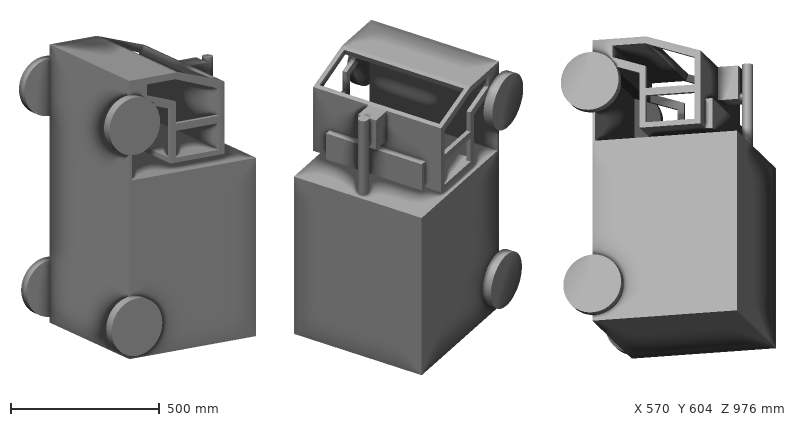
import cadquery as cq

body_width = 502.0
body_depth = 503.0
body_height = 626.0
total_height = 976.0
front_sheet_thickness = 10.0

wheel_radius = 101.0
wheel_thickness = 34.0
lower_wheel_center = (9.0, 120.0)
upper_wheel_center = (0.0, 826.0)

cab_rear = 377.0
cab_bottom = 660.0
cab_rear_top = 913.5
roof_bend = 186.0
cab_front = 164.0
brow_start_height = 851.0
brow_slope = 0.34

side_wall = 16.0
post_width = 21.0
cab_floor_thickness = 18.0
roof_thickness = 23.0
roof_bend_inside = 182.5
brow_depth = 70.0
brow_bar_height = 29.0
interior_rear_top = 892.0
rail_bottom = 771.0
rail_top = 796.0
roof_opening_margin = 16.0
roof_opening_depth = 28.0

step_width = 376.0
step_depth = 23.0
step_height = 103.0
step_center_x = -2.0
muffler_width = 70.0
muffler_depth = 70.0
muffler_bottom = 797.0
exhaust_center_x = -3.0

stack_radius = 19.0
stack_center_y = 470.0
stack_bottom = 629.0
stack_top = 923.0
stub_radius = 14.0
stub_center_z = 812.0

muffler_rear = cab_rear + muffler_depth
interior_rear = cab_rear - post_width
interior_front = cab_front + post_width
interior_floor = cab_bottom + cab_floor_thickness
interior_width = body_width - 2 * side_wall
roof_rise = total_height - cab_rear_top
roof_run = cab_rear - roof_bend


def box_between(width, y_range, z_range, center_x=0.0):
    """Box of a given width between two Y values and two Z values."""
    depth = y_range[1] - y_range[0]
    height = z_range[1] - z_range[0]
    corner = (center_x - width / 2, y_range[0], z_range[0])
    return cq.Workplane("XY").box(width, depth, height, centered=False).translate(corner)


def extrude_profile(points, width):
    """Extrude a closed YZ outline symmetrically along X."""
    return cq.Workplane("YZ").polyline(points).close().extrude(width / 2, both=True)


def brow_underside(y):
    """Height of the sloping underside of the cab's front brow."""
    return brow_start_height + brow_slope * (cab_front - y)


def brow_topside(y):
    """Height of the upper edge of the sloping bar along the brow."""
    return brow_underside(y) + brow_bar_height


def make_chassis():
    chassis = box_between(body_width, (0, body_depth), (0, body_height))
    sheet = box_between(body_width, (0, front_sheet_thickness), (0, total_height))
    return chassis.union(sheet)


def make_cab_shell():
    return extrude_profile(
        [
            (0, total_height),
            (roof_bend, total_height),
            (cab_rear, cab_rear_top),
            (cab_rear, cab_bottom),
            (cab_front, cab_bottom),
            (cab_front, brow_start_height),
            (0, brow_underside(0)),
        ],
        body_width,
    )


def interior_outline(front, brow_edge):
    """Cab interior in the YZ plane, bounded by a given front Y and brow edge."""
    return [
        (brow_depth, total_height - roof_thickness),
        (roof_bend_inside, total_height - roof_thickness),
        (interior_rear, interior_rear_top),
        (interior_rear, interior_floor),
        (front, interior_floor),
        (front, brow_edge(front)),
        (brow_depth, brow_edge(brow_depth)),
    ]


def make_cab_cavity():
    """Interior space, open through the windscreen and the sloping brow below it."""
    return extrude_profile(interior_outline(cab_front, brow_underside), interior_width)


def make_side_windows():
    """Windows through both cab sides, split by a horizontal rail."""
    windows = extrude_profile(interior_outline(interior_front, brow_topside), body_width)
    rail = box_between(body_width, (interior_front, interior_rear), (rail_bottom, rail_top))
    return windows.cut(rail)


def make_roof_opening():
    """Opening in the sloping roof panel, cut square to its surface."""
    panel = cq.Plane(
        origin=(0, (cab_rear + roof_bend) / 2, (cab_rear_top + total_height) / 2),
        xDir=(1, 0, 0),
        normal=(0, roof_rise, roof_run),
    )
    panel_length = (roof_run**2 + roof_rise**2) ** 0.5
    opening_length = panel_length - 2 * roof_opening_margin
    opening_width = body_width - 2 * roof_opening_margin
    return cq.Workplane(panel).rect(opening_width, opening_length).extrude(-roof_opening_depth)


def make_rear_step():
    heights = (cab_bottom, cab_bottom + step_height)
    return box_between(step_width, (cab_rear, cab_rear + step_depth), heights, step_center_x)


def make_muffler():
    heights = (muffler_bottom, cab_rear_top)
    return box_between(muffler_width, (cab_rear, muffler_rear), heights, exhaust_center_x)


def make_wheel(side, center):
    """Wheel on the left (-1) or right (+1) flank."""
    flank = cq.Workplane("YZ").workplane(offset=side * body_width / 2)
    return flank.center(*center).circle(wheel_radius).extrude(side * wheel_thickness)


def make_truck():
    cab = make_cab_shell()
    cab = cab.cut(make_cab_cavity()).cut(make_side_windows()).cut(make_roof_opening())
    truck = make_chassis().union(cab).union(make_rear_step()).union(make_muffler())
    for side in (-1, 1):
        for center in (lower_wheel_center, upper_wheel_center):
            truck = truck.union(make_wheel(side, center))
    return truck


def make_exhaust_stack():
    """Vertical pipe carried by a short stub that butts against the muffler."""
    pipe = cq.Workplane("XY", origin=(exhaust_center_x, stack_center_y, stack_bottom))
    pipe = pipe.circle(stack_radius).extrude(stack_top - stack_bottom)
    stub = cq.Workplane("XZ", origin=(exhaust_center_x, muffler_rear, stub_center_z))
    stub = stub.circle(stub_radius).extrude(muffler_rear - stack_center_y)
    return pipe.union(stub)


truck = make_truck()
exhaust_stack = make_exhaust_stack()
result = cq.Compound.makeCompound([truck.val(), exhaust_stack.val()])